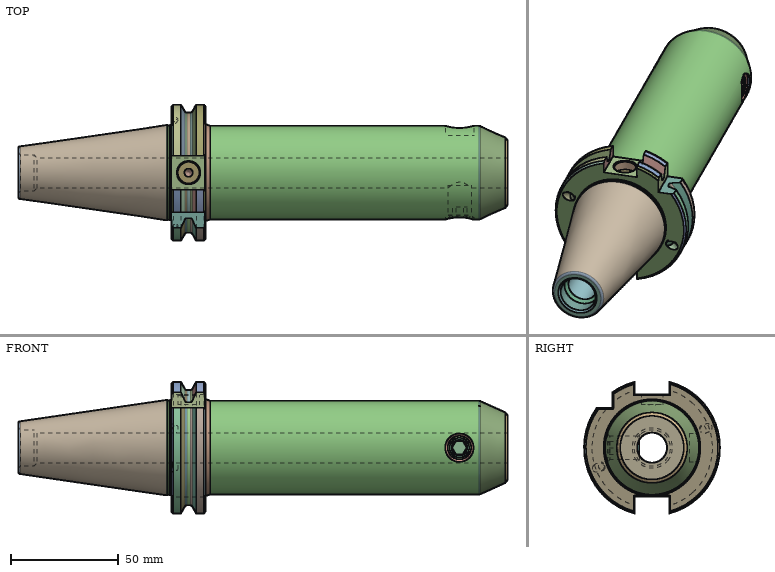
import cadquery as cq
import math

overall_length = 228.5
gauge_x = 69.0
gauge_diameter = 44.5
gauge_radius = gauge_diameter / 2
taper_ratio = 7 / 24
shank_end_radius = gauge_radius - gauge_x * taper_ratio / 2
shank_end_round = 1.1

relief_land = 0.7
relief_depth = 0.2
relief_end_gap = 0.8

flange_start_x = 71.5
flange_end_x = 87.5
flange_radius = 31.7
flange_chamfer = 1.0
slot_back_chamfer = 0.55
groove_x = (flange_start_x + flange_end_x) / 2
groove_width = 7.0
groove_half_width = groove_width / 2
groove_floor_radius = 28.0
groove_half_angle = 30
groove_round = 1.1

collar_radius = 22.5
collar_end_x = 89.5
body_radius = 22.0

nose_length = 13.2
nose_radius = 16.5
nose_round = 1.5
nose_chamfer_length = 1.1
nose_chamfer_depth = 1.5

bore_diameter = 14.0
bore_radius = bore_diameter / 2
mouth_radius = 9.4
mouth_chamfer = 1.0
mouth_depth = 7.3

slot_width = 16.0
top_slot_height = 25.0
bottom_slot_height = 22.8
notch_offset = 18.5

chip_radius = 5.0
chip_rim_chamfer = 0.5
chip_depth = 4.5
chip_spot_radius = 1.95
chip_spot_depth = 2.3

coolant_radius = 2.0
coolant_pitch_radius = 26.7
coolant_slope = 45
coolant_depth = 2.3
coolant_angles = (20, 200)

screw_x = 205.8
screw_radius = 5.5
screw_chamfer = 1.0
screw_tip_y = -6.0
screw_recess = 1.4
screw_hole_rim_radius = 6.6
socket_sides = 6
socket_flats = 6.0
socket_depth = 4.5
socket_lead_in = 0.7
socket_lead_in_radius = 3.7

balance_hole_depth = 4.5

selection_margin = 0.2


def revolve_about_x(points):
    profile = cq.Workplane("XZ").polyline(points).close()
    return profile.revolve(360, (0, 0, 0), (1, 0, 0))


def circle_selector(x, radius):
    """Selects the circles around the X axis close to x and no larger than radius."""
    reach = radius + selection_margin
    low = (x - groove_half_width / 2, -reach, -reach)
    high = (x + groove_half_width / 2, reach, reach)
    return cq.selectors.BoxSelector(low, high, boundingbox=True)


def make_blank():
    groove_depth = flange_radius - groove_floor_radius
    groove_wall_run = groove_depth * math.tan(math.radians(groove_half_angle))
    groove_floor_half_width = groove_half_width - groove_wall_run
    relief_radius = gauge_radius - relief_depth
    relief_start_x = gauge_x + relief_land
    relief_end_x = flange_start_x - relief_end_gap
    points = [
        (0, 0),
        (0, shank_end_radius),
        (gauge_x, gauge_radius),
        (relief_start_x, gauge_radius),
        (relief_start_x + relief_depth, relief_radius),
        (relief_end_x, relief_radius),
        (relief_end_x + relief_depth, gauge_radius),
        (flange_start_x, gauge_radius),
        (flange_start_x, flange_radius - flange_chamfer),
        (flange_start_x + flange_chamfer, flange_radius),
        (groove_x - groove_half_width, flange_radius),
        (groove_x - groove_floor_half_width, groove_floor_radius),
        (groove_x + groove_floor_half_width, groove_floor_radius),
        (groove_x + groove_half_width, flange_radius),
        (flange_end_x - flange_chamfer, flange_radius),
        (flange_end_x, flange_radius - flange_chamfer),
        (flange_end_x, collar_radius),
        (collar_end_x, body_radius),
        (overall_length - nose_length, body_radius),
        (overall_length - nose_chamfer_length, nose_radius),
        (overall_length, nose_radius - nose_chamfer_depth),
        (overall_length, 0),
    ]
    blank = revolve_about_x(points)
    blank = blank.faces("<X").edges().fillet(shank_end_round)
    blank = blank.edges(circle_selector(groove_x, groove_floor_radius)).fillet(groove_round)
    return blank.edges(circle_selector(overall_length - nose_length, body_radius)).fillet(nose_round)


def make_bore():
    points = [
        (0, 0),
        (0, mouth_radius),
        (mouth_chamfer, mouth_radius - mouth_chamfer),
        (mouth_depth, mouth_radius - mouth_chamfer),
        (mouth_depth + mouth_radius - mouth_chamfer - bore_radius, bore_radius),
        (overall_length, bore_radius),
        (overall_length, 0),
    ]
    return revolve_about_x(points)


def flange_cutter(y_size, z_size, y_middle, z_middle):
    """A box through the flange that flares out at 45 degrees where it leaves the back face."""
    start = cq.Workplane("YZ", origin=(flange_start_x, y_middle, z_middle))
    box = start.rect(y_size, z_size).extrude(flange_end_x - flange_start_x)
    flare_start = cq.Workplane("YZ", origin=(flange_end_x - slot_back_chamfer, y_middle, z_middle))
    flare = flare_start.rect(y_size, z_size).extrude(slot_back_chamfer, taper=-45)
    return box.union(flare)


def make_flange_cuts():
    reach = flange_radius
    top_slot = flange_cutter(slot_width, reach, 0, top_slot_height + reach / 2)
    bottom_slot = flange_cutter(slot_width, reach, 0, -bottom_slot_height - reach / 2)
    notch = flange_cutter(reach, reach, -notch_offset - reach / 2, notch_offset + reach / 2)
    return [top_slot, bottom_slot, notch]


def make_chip_pocket():
    floor_z = top_slot_height - chip_depth
    pocket = cq.Solid.makeCylinder(chip_radius, chip_depth, cq.Vector(groove_x, 0, floor_z))
    rim = cq.Solid.makeCone(
        chip_radius,
        chip_radius + chip_rim_chamfer,
        chip_rim_chamfer,
        cq.Vector(groove_x, 0, top_slot_height - chip_rim_chamfer),
    )
    spot = cq.Solid.makeCone(
        chip_spot_radius, 0, chip_spot_depth, cq.Vector(groove_x, 0, floor_z), cq.Vector(0, 0, -1)
    )
    return pocket.fuse(rim).fuse(spot)


def make_coolant_hole(angle):
    slope = math.radians(coolant_slope)
    inward = cq.Vector(math.cos(slope), -math.sin(slope), 0)
    mouth = cq.Vector(flange_start_x, coolant_pitch_radius, 0)
    lead = 2 * coolant_radius
    hole = cq.Solid.makeCylinder(coolant_radius, coolant_depth + lead, mouth - inward * lead, inward)
    return hole.rotate(cq.Vector(0, 0, 0), cq.Vector(1, 0, 0), angle)


def make_screw_hole():
    tip = cq.Vector(screw_x, 0, 0)
    outward = cq.Vector(0, -1, 0)
    shaft = cq.Solid.makeCylinder(screw_radius, body_radius, tip, outward)
    rim_depth = screw_hole_rim_radius - screw_radius
    rim_y = math.sqrt(body_radius**2 - screw_hole_rim_radius**2)
    cone = cq.Solid.makeCone(
        screw_radius, screw_hole_rim_radius, rim_depth, tip + outward * (rim_y - rim_depth), outward
    )
    mouth = cq.Solid.makeCylinder(screw_hole_rim_radius, body_radius - rim_y, tip + outward * rim_y, outward)
    return shaft.fuse(cone).fuse(mouth)


def make_balance_hole():
    floor = cq.Vector(screw_x, body_radius - balance_hole_depth, 0)
    return cq.Solid.makeCylinder(screw_hole_rim_radius, balance_hole_depth, floor, cq.Vector(0, 1, 0))


def make_holder():
    holder = make_blank().cut(make_bore())
    for cutter in make_flange_cuts():
        holder = holder.cut(cutter)
    holder = holder.cut(cq.Workplane(make_chip_pocket()))
    for angle in coolant_angles:
        holder = holder.cut(cq.Workplane(make_coolant_hole(angle)))
    holder = holder.cut(cq.Workplane(make_screw_hole()))
    holder = holder.cut(cq.Workplane(make_balance_hole()))
    return holder


def make_clamping_screw():
    top_y = -body_radius + screw_recess
    length = screw_tip_y - top_y
    plane = cq.Plane(origin=(screw_x, top_y, 0), xDir=(1, 0, 0), normal=(0, 1, 0))
    screw = cq.Workplane(plane).circle(screw_radius).extrude(length)
    screw = screw.faces("<Y").chamfer(screw_chamfer)
    socket_corners = socket_flats / math.cos(math.pi / socket_sides)
    socket = cq.Workplane(plane).polygon(socket_sides, socket_corners).extrude(socket_depth)
    lead_in = cq.Solid.makeCone(
        socket_lead_in_radius,
        socket_lead_in_radius - socket_lead_in,
        socket_lead_in,
        cq.Vector(screw_x, top_y, 0),
        cq.Vector(0, 1, 0),
    )
    return screw.cut(socket).cut(cq.Workplane(lead_in))


holder = make_holder()
clamping_screw = make_clamping_screw()
result = cq.Compound.makeCompound([holder.val(), clamping_screw.val()])